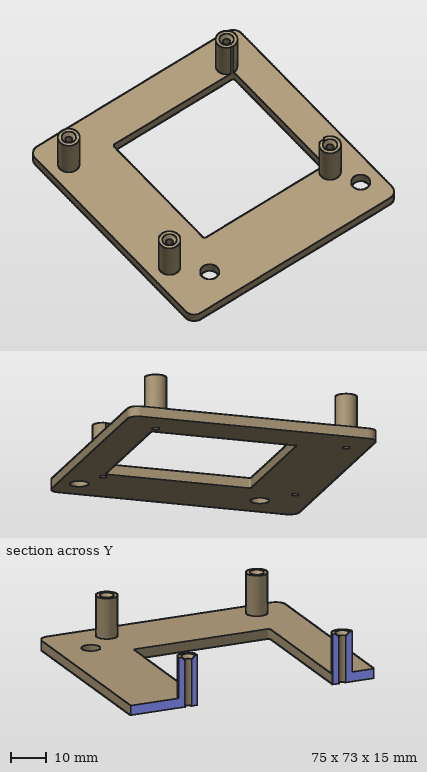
import cadquery as cq

plate_x = 75.0
plate_y = 73.0
plate_thickness = 3.0
corner_radius = 3.0

window_left = 12.7
window_right = 54.6
window_bottom = 20.0
window_top = 62.8
window_corner_radius = 0.6

total_height = 15.0
standoff_diameter = 6.15
mouth_diameter = 4.05
bore_diameter = 2.0
mouth_depth = 1.05
standoff_mid_x = 33.45
upper_standoff_spacing = 47.5
lower_standoff_spacing = 46.2
upper_standoff_y = 62.55
lower_standoff_y = 6.2

side_hole_diameter = 5.3
side_hole_centers = [(65.5, 67.0), (64.95, 13.95)]

standoff_centers = [
    (standoff_mid_x + side * spacing / 2, y)
    for spacing, y in (
        (upper_standoff_spacing, upper_standoff_y),
        (lower_standoff_spacing, lower_standoff_y),
    )
    for side in (-1, 1)
]


def make_plate():
    plate = cq.Workplane("XY").box(plate_x, plate_y, plate_thickness, centered=False)
    plate = plate.edges("|Z").fillet(corner_radius)
    holes = (
        cq.Workplane("XY")
        .pushPoints(side_hole_centers)
        .circle(side_hole_diameter / 2)
        .extrude(plate_thickness)
    )
    return plate.cut(holes)


def make_window():
    """Cutter that also trims the standoffs overlapping the opening."""
    window = cq.Workplane("XY").box(
        window_right - window_left, window_top - window_bottom, total_height, centered=False
    )
    window = window.edges("|Z").fillet(window_corner_radius)
    return window.translate((window_left, window_bottom, 0))


def make_standoff_bore():
    mouth_bottom = total_height - mouth_depth
    return (
        cq.Workplane("XZ")
        .lineTo(bore_diameter / 2, 0)
        .lineTo(bore_diameter / 2, mouth_bottom)
        .lineTo(mouth_diameter / 2, total_height)
        .lineTo(0, total_height)
        .close()
        .revolve(360, (0, 0, 0), (0, 1, 0))
    )


standoffs = (
    cq.Workplane("XY")
    .pushPoints(standoff_centers)
    .circle(standoff_diameter / 2)
    .extrude(total_height)
)
result = make_plate().union(standoffs).cut(make_window())
bore = make_standoff_bore()
for x, y in standoff_centers:
    result = result.cut(bore.translate((x, y, 0)))